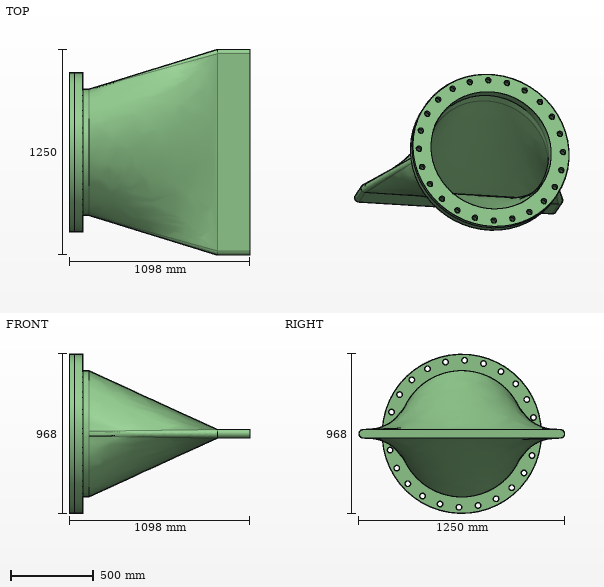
import cadquery as cq
import math

total_length = 1098.0
bill_width = 1250
flange_diameter = 968.0

flange_thickness = 30.0
ring_thickness = 51.0
bolt_count = 24
bolt_circle_diameter = 892.0
bolt_hole_diameter = 32.0
bolt_start_angle = -2.2

collar_diameter = 768.0
bore_diameter = 745.0
collar_end = 119.0
bill_length = 199.0
bill_thickness = 52.0
bill_start = total_length - bill_length
edge_half_angle = 2.3

bore_depth = 75.0
throat_height = 702.0
throat_width = 755.0
slit_width = bill_width - bill_thickness
slit_height = 2.0


def oval_section(x, width, height):
    """Closed round or oval outline across the axis at x: two wide arcs and two narrow side arcs."""

    def point(degrees):
        angle = math.radians(degrees)
        return (width / 2 * math.cos(angle), height / 2 * math.sin(angle))

    edge = edge_half_angle
    return (
        cq.Workplane("YZ", origin=(x, 0, 0))
        .moveTo(*point(edge))
        .threePointArc(point(90), point(180 - edge))
        .threePointArc(point(180), point(180 + edge))
        .threePointArc(point(270), point(-edge))
        .threePointArc(point(0), point(edge))
        .close()
        .val()
    )


def slot_section(x, width, height):
    """Closed slot across the axis at x: two flat sides and two round ends."""
    radius = height / 2
    flat_end = width / 2 - radius
    return (
        cq.Workplane("YZ", origin=(x, 0, 0))
        .moveTo(flat_end, radius)
        .lineTo(-flat_end, radius)
        .threePointArc((-width / 2, 0), (-flat_end, -radius))
        .lineTo(flat_end, -radius)
        .threePointArc((width / 2, 0), (flat_end, radius))
        .close()
        .val()
    )


def loft(start_section, end_section):
    """Straight-ruled solid between two closed sections."""
    return cq.Workplane(obj=cq.Solid.makeLoft([start_section, end_section], True))


def disc(start, length, diameter):
    """Cylinder on the pipe axis."""
    return cq.Workplane("YZ", origin=(start, 0, 0)).circle(diameter / 2).extrude(length)


def drill_bolt_holes(body, depth):
    """Cut the bolt circle from the mating face at x = 0 to the given depth."""
    holes = (
        cq.Workplane("YZ")
        .polarArray(bolt_circle_diameter / 2, bolt_start_angle, 360, bolt_count)
        .circle(bolt_hole_diameter / 2)
        .extrude(depth)
    )
    return body.cut(holes)


def make_passage():
    """Three cavities in line: round bore, throat narrowing in height, and funnel to the slit."""
    throat = oval_section(collar_end, throat_width, throat_height)
    bore = disc(0, bore_depth, bore_diameter)
    throat_taper = loft(oval_section(bore_depth, bore_diameter, bore_diameter), throat)
    funnel = loft(throat, slot_section(bill_start, slit_width, slit_height))
    return bore, throat_taper, funnel


def make_valve():
    """One-piece duckbill: flange, collar, cone flattening out, and straight bill."""
    bill_section = slot_section(bill_start, bill_width, bill_thickness)
    flange = drill_bolt_holes(disc(0, flange_thickness, flange_diameter), flange_thickness)
    collar = disc(0, collar_end, collar_diameter)
    cone = loft(oval_section(collar_end, collar_diameter, collar_diameter), bill_section)
    bill = cq.Workplane(obj=cq.Solid.extrudeLinear(bill_section, [], cq.Vector(bill_length, 0, 0)))
    valve = flange.union(collar).union(cone).union(bill)
    for cavity in make_passage():
        valve = valve.cut(cavity)
    return valve


def make_backing_ring():
    """Flat ring behind the flange, fitting around the collar."""
    ring_end = flange_thickness + ring_thickness
    ring = disc(flange_thickness, ring_thickness, flange_diameter).cut(disc(0, ring_end, collar_diameter))
    return drill_bolt_holes(ring, ring_end)


valve = make_valve()
backing_ring = make_backing_ring()
result = cq.Compound.makeCompound([valve.solids().val(), backing_ring.solids().val()])